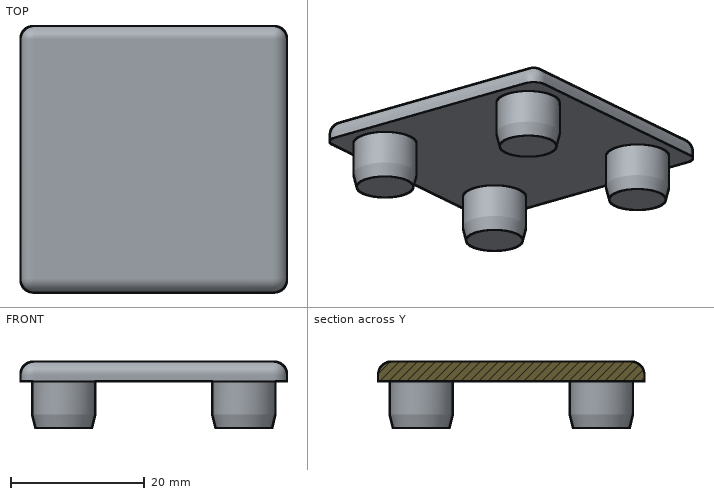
import cadquery as cq

plate_side = 40.0
plate_thickness = 3.0
edge_radius = 2.0

peg_diameter = 9.5
peg_tip_diameter = 8.5
peg_length = 7.0
peg_tip_length = 2.0
peg_spacing = 27.0


def make_plate():
    """Plate standing on Z = 0, with rounded corners and a rounded top rim."""
    plate = cq.Workplane("XY").box(
        plate_side, plate_side, plate_thickness, centered=(True, True, False)
    )
    return plate.edges("|Z").fillet(edge_radius).faces(">Z").edges().fillet(edge_radius)


def make_peg():
    """Peg hanging from Z = 0, revolved from its half profile."""
    peg_radius = peg_diameter / 2
    profile = (
        cq.Workplane("XZ")
        .lineTo(peg_radius, 0)
        .lineTo(peg_radius, peg_tip_length - peg_length)
        .lineTo(peg_tip_diameter / 2, -peg_length)
        .lineTo(0, -peg_length)
        .close()
    )
    return profile.revolve(360, (0, 0, 0), (0, 1, 0))


result = make_plate()
peg = make_peg()
for x_side in (-1, 1):
    for y_side in (-1, 1):
        peg_position = (x_side * peg_spacing / 2, y_side * peg_spacing / 2, 0)
        result = result.union(peg.translate(peg_position))